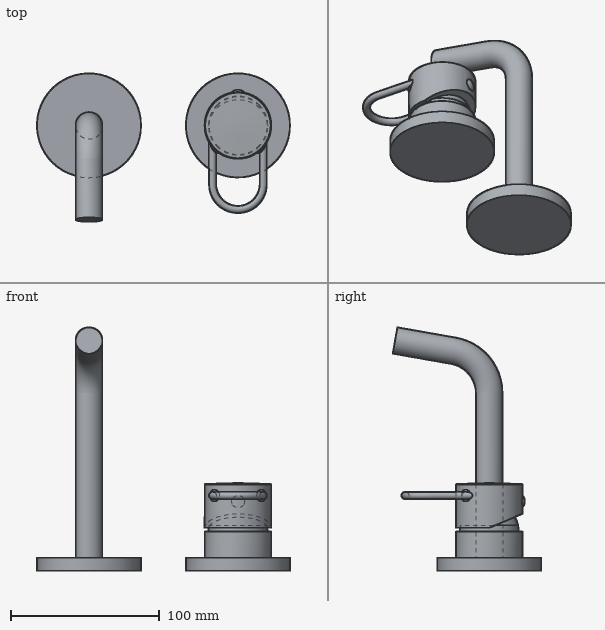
import cadquery as cq
import math


PLATE_DIAMETER = 70.0
PLATE_HEIGHT = 9.0
MIXER_X = 170 - PLATE_DIAMETER

PIPE_RADIUS = 9.0
PIPE_STRAIGHT_TOP = 119.3
BEND_RADIUS = 28.9
BEND_ANGLE = 80
OUTLET_LENGTH = 40.0

MIXER_RADIUS = 22.5
BASE_TOP = 26.7
EDGE_CHAMFER = 0.5
BALL_RADIUS = 19.9
BALL_SPLIT_Z = 30.8

KNOB_BOTTOM = 28.9
KNOB_RIM = 58.5
CROWN_HEIGHT = 0.7
RELIEF_ANGLE = 23

LOOP_Z = 50.7
LOOP_BEND_RADIUS = 17.0
LOOP_BEND_START = 39.5
LOOP_ROD_DIAMETER = 5.0
DOME_RADIUS = 6.0
DOME_PROTRUSION = 1.5
REAR_DOME_Z = 46.8
REAR_DOME_ANGLE = 90
LOOP_DOME_ANGLES = (-45, -135)


def make_plate():
    return cq.Workplane("XY").circle(PLATE_DIAMETER / 2).extrude(PLATE_HEIGHT)


def make_spout():
    """Wall plate with a pipe that rises, bends toward -Y and ends in a straight outlet."""
    bend = math.radians(BEND_ANGLE)

    def bend_point(angle):
        y = -BEND_RADIUS * (1 - math.cos(angle))
        z = PIPE_STRAIGHT_TOP + BEND_RADIUS * math.sin(angle)
        return y, z

    bend_end = bend_point(bend)
    outlet_end = (
        bend_end[0] - OUTLET_LENGTH * math.sin(bend),
        bend_end[1] + OUTLET_LENGTH * math.cos(bend),
    )
    path = (
        cq.Workplane("YZ")
        .lineTo(0, PIPE_STRAIGHT_TOP)
        .threePointArc(bend_point(bend / 2), bend_end)
        .lineTo(*outlet_end)
    )
    pipe = cq.Workplane("XY").circle(PIPE_RADIUS).sweep(path)
    return make_plate().union(pipe)


def make_ball_slice(bottom, top):
    """Slice of the joint ball, which is centred on the top face of the mixer base."""
    ball = cq.Workplane("XY").sphere(BALL_RADIUS).translate((0, 0, BASE_TOP))
    slab = cq.Workplane("XY").workplane(offset=bottom).circle(MIXER_RADIUS).extrude(top - bottom)
    return ball.intersect(slab)


def make_mixer_base():
    """Wall plate and drum with the lower zone of the ball standing above the drum."""
    drum = (
        cq.Workplane("XY")
        .circle(MIXER_RADIUS)
        .extrude(BASE_TOP)
        .faces(">Z")
        .edges()
        .chamfer(EDGE_CHAMFER)
    )
    return make_plate().union(drum).union(make_ball_slice(BASE_TOP, BALL_SPLIT_Z))


def make_knob_drum():
    """Drum with a chamfered rim and a flat conical crown, revolved about the mixer axis."""
    return (
        cq.Workplane("XZ")
        .moveTo(0, KNOB_BOTTOM)
        .lineTo(MIXER_RADIUS, KNOB_BOTTOM)
        .lineTo(MIXER_RADIUS, KNOB_RIM - EDGE_CHAMFER)
        .lineTo(MIXER_RADIUS - EDGE_CHAMFER, KNOB_RIM)
        .lineTo(0, KNOB_RIM + CROWN_HEIGHT)
        .close()
        .revolve(360, (0, 0, 0), (0, 1, 0))
    )


def make_tilt_relief():
    """Wedge under the rear half of the knob, rising from the mixer axis toward +Y."""
    reach = 2 * MIXER_RADIUS
    rise = reach * math.tan(math.radians(RELIEF_ANGLE))
    return (
        cq.Workplane("YZ")
        .moveTo(0, KNOB_BOTTOM)
        .lineTo(reach, KNOB_BOTTOM)
        .lineTo(reach, KNOB_BOTTOM + rise)
        .close()
        .extrude(MIXER_RADIUS, both=True)
    )


def make_dome(angle, z):
    """Ball set into the knob wall so that only a shallow cap stands out."""
    distance = MIXER_RADIUS + DOME_PROTRUSION - DOME_RADIUS
    x = distance * math.cos(math.radians(angle))
    y = distance * math.sin(math.radians(angle))
    return cq.Workplane("XY").sphere(DOME_RADIUS).translate((x, y, z))


def make_loop():
    """U-shaped rod whose two legs run into the knob."""
    path = (
        cq.Workplane("XY", origin=(0, 0, LOOP_Z))
        .moveTo(-LOOP_BEND_RADIUS, 0)
        .lineTo(-LOOP_BEND_RADIUS, -LOOP_BEND_START)
        .threePointArc((0, -LOOP_BEND_START - LOOP_BEND_RADIUS), (LOOP_BEND_RADIUS, -LOOP_BEND_START))
        .lineTo(LOOP_BEND_RADIUS, 0)
    )
    leg_end = cq.Workplane("XZ", origin=(-LOOP_BEND_RADIUS, 0, LOOP_Z))
    return leg_end.circle(LOOP_ROD_DIAMETER / 2).sweep(path)


def make_knob():
    """Knob drum resting on the ball, with its loop handle and domes."""
    knob = make_knob_drum().cut(make_tilt_relief())
    knob = knob.cut(make_ball_slice(BASE_TOP, BALL_SPLIT_Z))
    knob = knob.union(make_ball_slice(BALL_SPLIT_Z, BASE_TOP + BALL_RADIUS))
    knob = knob.union(make_dome(REAR_DOME_ANGLE, REAR_DOME_Z))
    for angle in LOOP_DOME_ANGLES:
        knob = knob.union(make_dome(angle, LOOP_Z))
    return knob.union(make_loop())


spout = make_spout()
mixer_base = make_mixer_base().translate((MIXER_X, 0, 0))
knob = make_knob().translate((MIXER_X, 0, 0))

bodies = (spout, mixer_base, knob)
result = cq.Compound.makeCompound([body.solids().val() for body in bodies])